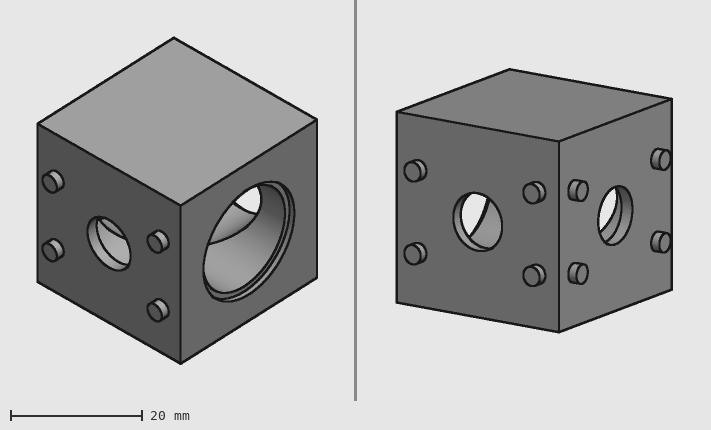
import cadquery as cq

overall_length = 31.5
cube_side = 30.0
peg_height = overall_length - cube_side
peg_diameter = 3.02
peg_spacing_across = 22.0
peg_spacing_vertical = 13.0
port_diameter = 9.05
chamber_diameter = 18.02
wall_thickness = 2.02
recess_diameter = 20.0
recess_depth = 1.0

half_side = cube_side / 2


def face_plane(outward):
    """Plane on a side face of the cube, local x horizontal and local y up."""
    origin = tuple(half_side * component for component in outward)
    horizontal = (-outward[1], outward[0], 0)
    return cq.Plane(origin=origin, xDir=horizontal, normal=outward)


def pegs(outward):
    """Four locating pegs standing on one side face."""
    return (
        cq.Workplane(face_plane(outward))
        .rarray(peg_spacing_across, peg_spacing_vertical, 2, 2)
        .circle(peg_diameter / 2)
        .extrude(peg_height)
    )


def bore(outward):
    """Stepped bore: small port in the wall, wide chamber, shallow recess in the far face."""
    port = cq.Workplane(face_plane(outward)).circle(port_diameter / 2).extrude(-cube_side)
    chamber = (
        cq.Workplane(face_plane(outward))
        .workplane(offset=-wall_thickness)
        .circle(chamber_diameter / 2)
        .extrude(wall_thickness - cube_side)
    )
    recess = (
        cq.Workplane(face_plane(outward))
        .workplane(offset=recess_depth - cube_side)
        .circle(recess_diameter / 2)
        .extrude(-recess_depth)
    )
    return port.union(chamber).union(recess)


result = cq.Workplane("XY").box(cube_side, cube_side, cube_side)
for outward in ((-1, 0, 0), (0, -1, 0)):
    result = result.union(pegs(outward)).cut(bore(outward))